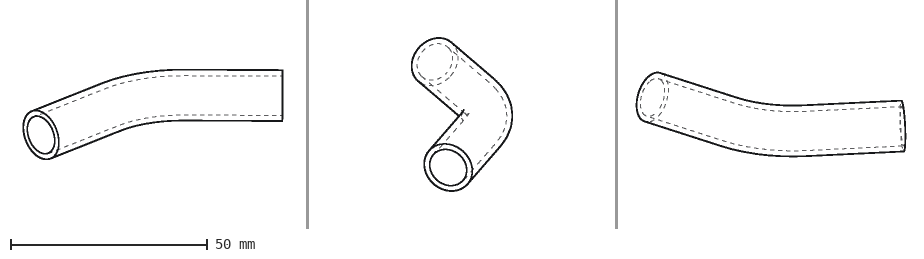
import cadquery as cq
import math

outer_diameter = 13.0
bore_diameter = 10.0

overall_length = 65.65
bend_radius = 25.95
bend_angle = 45.0
bend_turn = math.radians(bend_angle)

bend_and_end_face = (bend_radius + outer_diameter / 2) * math.sin(bend_turn)
leg_length = (overall_length - bend_and_end_face) / (1 + math.cos(bend_turn))


def point_on_bend(angle):
    """Centreline point after turning through the given angle in degrees."""
    turn = math.radians(angle)
    return (
        bend_radius * (1 - math.cos(turn)),
        leg_length + bend_radius * math.sin(turn),
    )


bend_end = point_on_bend(bend_angle)
tube_end = (
    bend_end[0] + leg_length * math.sin(bend_turn),
    bend_end[1] + leg_length * math.cos(bend_turn),
)

centreline = (
    cq.Workplane("XY")
    .moveTo(0, 0)
    .lineTo(0, leg_length)
    .threePointArc(point_on_bend(bend_angle / 2), bend_end)
    .lineTo(*tube_end)
)

result = (
    cq.Workplane("XZ")
    .circle(outer_diameter / 2)
    .circle(bore_diameter / 2)
    .sweep(centreline)
)